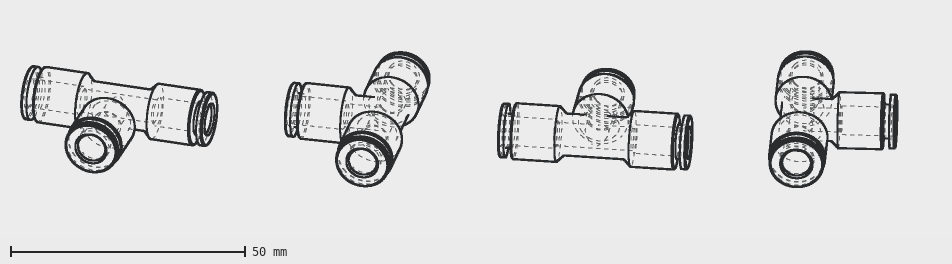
import cadquery as cq

ARM_LENGTH = 20.2

NECK_RADIUS = 9.0 / 2
BODY_RADIUS = 12.0 / 2
SHOULDER_END = 8.0
SHOULDER_START = SHOULDER_END - (BODY_RADIUS - NECK_RADIUS)
NECK_FILLET = 0.5
BODY_END = 17.5
BODY_CHAMFER = 0.25
END_CONE_RADIUS = 4.85
END_CONE_HEIGHT = 0.25

STEM_RADIUS = 7.3 / 2
COLLAR_RADIUS = 11.5 / 2
COLLAR_THICKNESS = 1.2
COLLAR_CHAMFER = 0.25
STEM_FILLET = 0.12

PASSAGE_RADIUS = 5.0 / 2
SOCKET_RADIUS = 6.15 / 2
SOCKET_BOTTOM = SHOULDER_END
MOUTH_FLARE = 0.4
MOUTH_DEPTH = 0.53

ARM_ANGLES = (0, 180, -90)


def arm_solid():
    """Solid arm along +X."""
    collar_start = ARM_LENGTH - COLLAR_THICKNESS
    body_profile = (
        cq.Workplane("XY")
        .moveTo(0, 0)
        .lineTo(0, NECK_RADIUS)
        .lineTo(SHOULDER_START, NECK_RADIUS)
        .lineTo(SHOULDER_END, BODY_RADIUS)
        .lineTo(BODY_END - BODY_CHAMFER, BODY_RADIUS)
        .lineTo(BODY_END, BODY_RADIUS - BODY_CHAMFER)
        .lineTo(BODY_END, END_CONE_RADIUS)
        .lineTo(BODY_END + END_CONE_HEIGHT, STEM_RADIUS)
        .lineTo(collar_start - STEM_FILLET, STEM_RADIUS)
        .radiusArc((collar_start, STEM_RADIUS + STEM_FILLET), -STEM_FILLET)
        .lineTo(collar_start, COLLAR_RADIUS)
        .lineTo(ARM_LENGTH - COLLAR_CHAMFER, COLLAR_RADIUS)
        .lineTo(ARM_LENGTH, COLLAR_RADIUS - COLLAR_CHAMFER)
        .lineTo(ARM_LENGTH, 0)
        .close()
    )
    arm = body_profile.revolve(360, (0, 0, 0), (1, 0, 0))
    shoulder_foot = cq.selectors.BoxSelector(
        (SHOULDER_START - 0.05, -BODY_RADIUS, -BODY_RADIUS),
        (SHOULDER_START + 0.05, BODY_RADIUS, BODY_RADIUS),
        boundingbox=True,
    )
    return arm.edges(shoulder_foot).fillet(NECK_FILLET)


def arm_bore():
    """Stepped passage along +X: flared mouth, socket, 45 degree seat, flow hole."""
    return (
        cq.Workplane("XY")
        .moveTo(0, 0)
        .lineTo(0, PASSAGE_RADIUS)
        .lineTo(SOCKET_BOTTOM, PASSAGE_RADIUS)
        .lineTo(SOCKET_BOTTOM + SOCKET_RADIUS - PASSAGE_RADIUS, SOCKET_RADIUS)
        .lineTo(ARM_LENGTH - MOUTH_DEPTH, SOCKET_RADIUS)
        .lineTo(ARM_LENGTH, SOCKET_RADIUS + MOUTH_FLARE)
        .lineTo(ARM_LENGTH, 0)
        .close()
        .revolve(360, (0, 0, 0), (1, 0, 0))
    )


def tee(arm):
    """Join three copies of an arm into a tee."""
    joined = cq.Workplane("XY")
    for angle in ARM_ANGLES:
        joined = joined.add(arm.rotate((0, 0, 0), (0, 0, 1), angle))
    return joined.combine()


def round_tee_corners(body):
    """Round the inside corners where the branch neck leaves the straight neck."""
    corner_edges = cq.selectors.BoxSelector(
        (-SHOULDER_START, -SHOULDER_START, -BODY_RADIUS),
        (SHOULDER_START, NECK_RADIUS / 2, BODY_RADIUS),
        boundingbox=True,
    )
    return body.edges(corner_edges).edges("%ELLIPSE").fillet(NECK_FILLET)


body = round_tee_corners(tee(arm_solid()))
result = body.cut(tee(arm_bore()))